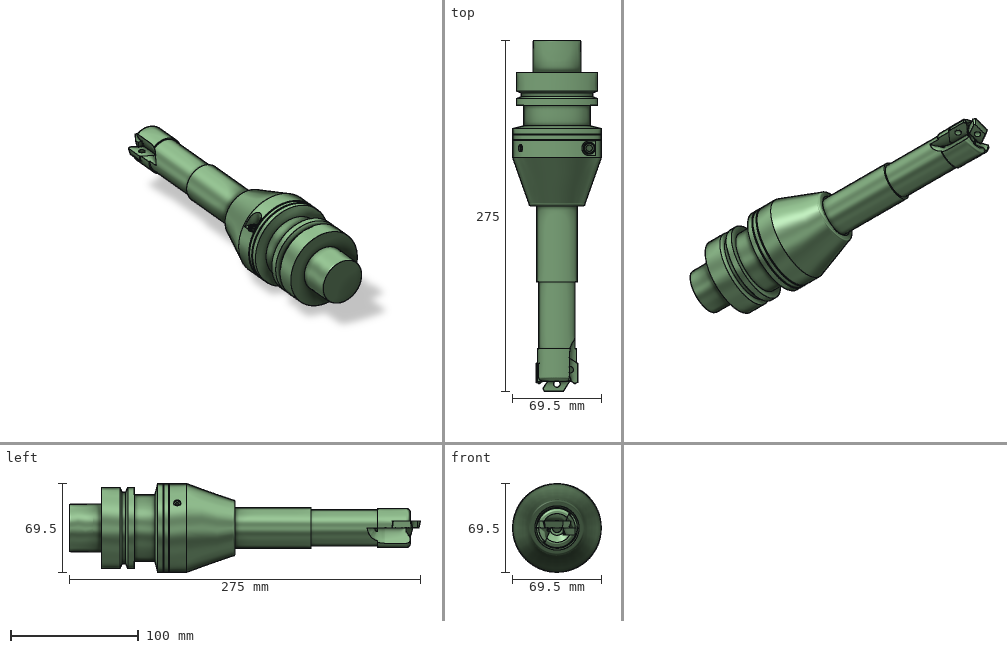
import cadquery as cq
import math


OVERALL_LENGTH = 275.0

SHANK_RADIUS = 19.0
SHANK_END_RADIUS = 18.7
SHANK_LEAD_IN_LENGTH = 1.0
SHANK_LEAD_IN_DEPTH = 0.3
SHANK_TAPER_LENGTH = 18.5
FLANGE_RADIUS = 32.0
FLANGE_START = 25.0
FLANGE_END = 51.0
FLANGE_GROOVE_RADIUS = 28.0
FLANGE_GROOVE_START = 39.5
FLANGE_GROOVE_END = 45.7
FLANGE_GROOVE_FLOOR_START = 41.3
FLANGE_GROOVE_FLOOR_END = 44.0

NECK_RADIUS = 26.0
NOSE_DIAMETER = 69.5
NOSE_RADIUS = NOSE_DIAMETER / 2
NOSE_START = 66.8
NOSE_CYLINDER_START = 69.0
NOSE_CONE_START = 92.0
NOSE_CONE_END = 128.0
NOSE_CONE_END_RADIUS = 22.0
NOSE_END = 129.8
NOSE_FILLET = NOSE_END - NOSE_CONE_END
RING_GROOVE_STATIONS = (73.7, 77.9)
RING_GROOVE_WIDTH = 0.8
RING_GROOVE_DEPTH = 0.3
MOUTH_CHAMFER = 1.5

SCREW_STATION = 84.5
SCREW_OFFSET = 25.3
SCREW_FLAT_HEIGHT = 17.3
SCREW_SLOT_RADIUS = 5.8
SCREW_STEPS = ((4.7, 1.0), (3.9, 2.2), (2.5, 4.0))
PORT_ANGLE = 34.5
PORT_RADIUS = 2.8
PORT_DEPTH = 1.7
PORT_HOLE_RADIUS = 1.5
PORT_HOLE_DEPTH = 5.5

BAR_START = NOSE_START
BAR_RADIUS = 16.0
BAR_STEP = 189.3
BAR_WAIST_RADIUS = 14.3
HEAD_START = 241.5
HEAD_RADIUS = 15.5
HEAD_END = 267.0
HEAD_FILLET = 3.3
DISH_RADIUS = 11.3
DISH_FLOOR_RADIUS = 5.8
DISH_DEPTH = 3.5
COOLANT_RADIUS = 3.5
COOLANT_DEPTH = 5.5

GULLET_INNER_X = 4.7
GULLET_LEAN_ANGLE = 22.5
GULLET_RAMP_START = 233.3
GULLET_RAMP_END = 247.5
JET_STATION = 240.2
JET_HEIGHT = 1.7
JET_RADIUS = 1.0
JET_DEPTH = 4.0

INSERT_WIDTH = 11.8
INSERT_HALF_WIDTH = INSERT_WIDTH / 2
EDGE_LONG_REACH = 10.0
EDGE_SHORT_REACH = 5.0
INSERT_NOSE_X = 11.0
INSERT_NOSE_Y = 3.5
INSERT_THICKNESS = 5.5
INSERT_CLEARANCE_ANGLE = 13
INSERT_HOLE_RADIUS = 2.5
CENTRE_INSERT_STATION = OVERALL_LENGTH - INSERT_HALF_WIDTH
SIDE_INSERT_STATION = 258.0
SIDE_INSERT_X = 10.5
SEAT_OPENING_START = SIDE_INSERT_STATION + EDGE_SHORT_REACH


def revolve_about_axis(profile):
    return profile.close().revolve(360, (0, 0, 0), (0, 1, 0))


def cylinder(radius, height, origin, direction):
    return cq.Workplane(cq.Solid.makeCylinder(radius, height, cq.Vector(*origin), cq.Vector(*direction)))


def ring_groove(station):
    half_width = RING_GROOVE_WIDTH / 2
    floor_radius = NOSE_RADIUS - RING_GROOVE_DEPTH
    return revolve_about_axis(
        cq.Workplane("XY")
        .moveTo(floor_radius, -station + half_width)
        .lineTo(NOSE_RADIUS + RING_GROOVE_DEPTH, -station + half_width)
        .lineTo(NOSE_RADIUS + RING_GROOVE_DEPTH, -station - half_width)
        .lineTo(floor_radius, -station - half_width)
    )


def screw_recess():
    """Flat-bottomed slot open to the side, with a stepped screw hole in its floor."""
    centre = (SCREW_OFFSET, -SCREW_STATION, SCREW_FLAT_HEIGHT)
    slot = cylinder(SCREW_SLOT_RADIUS, NOSE_RADIUS, centre, (0, 0, 1))
    side_opening = (
        cq.Workplane("XY")
        .box(NOSE_RADIUS, 2 * SCREW_SLOT_RADIUS, NOSE_RADIUS, centered=(False, True, False))
        .translate(centre)
    )
    recess = slot.union(side_opening)
    for radius, depth in SCREW_STEPS:
        recess = recess.union(cylinder(radius, depth, centre, (0, 0, -1)))
    return recess


def side_port():
    """Stepped radial hole on the -X, +Z side of the nose."""
    angle = math.radians(PORT_ANGLE)
    inward = (math.cos(angle), 0, -math.sin(angle))
    outer_point = (-NOSE_RADIUS * inward[0], -SCREW_STATION, -NOSE_RADIUS * inward[2])
    mouth = cylinder(PORT_RADIUS, PORT_DEPTH, outer_point, inward)
    hole = cylinder(PORT_HOLE_RADIUS, PORT_HOLE_DEPTH, outer_point, inward)
    return mouth.union(hole)


def make_holder():
    body = revolve_about_axis(
        cq.Workplane("XY")
        .moveTo(0, 0)
        .lineTo(SHANK_END_RADIUS - SHANK_LEAD_IN_DEPTH, 0)
        .lineTo(SHANK_END_RADIUS, -SHANK_LEAD_IN_LENGTH)
        .lineTo(SHANK_RADIUS, -SHANK_TAPER_LENGTH)
        .lineTo(SHANK_RADIUS, -FLANGE_START)
        .lineTo(FLANGE_RADIUS, -FLANGE_START)
        .lineTo(FLANGE_RADIUS, -FLANGE_GROOVE_START)
        .lineTo(FLANGE_GROOVE_RADIUS, -FLANGE_GROOVE_FLOOR_START)
        .lineTo(FLANGE_GROOVE_RADIUS, -FLANGE_GROOVE_FLOOR_END)
        .lineTo(FLANGE_RADIUS, -FLANGE_GROOVE_END)
        .lineTo(FLANGE_RADIUS, -FLANGE_END)
        .lineTo(NECK_RADIUS, -FLANGE_END)
        .lineTo(NECK_RADIUS, -NOSE_START)
        .lineTo(NOSE_RADIUS, -NOSE_CYLINDER_START)
        .lineTo(NOSE_RADIUS, -NOSE_CONE_START)
        .lineTo(NOSE_CONE_END_RADIUS, -NOSE_CONE_END)
        .radiusArc((NOSE_CONE_END_RADIUS - NOSE_FILLET, -NOSE_END), NOSE_FILLET)
        .lineTo(BAR_RADIUS + MOUTH_CHAMFER, -NOSE_END)
        .lineTo(BAR_RADIUS, -NOSE_END + MOUTH_CHAMFER)
        .lineTo(BAR_RADIUS, -BAR_START)
        .lineTo(0, -BAR_START)
    )
    for station in RING_GROOVE_STATIONS:
        body = body.cut(ring_groove(station))
    return body.cut(screw_recess()).cut(side_port())


def half_turn(shape):
    return shape.rotate((0, 0, 0), (0, 1, 0), 180)


def insert_blank():
    """Parallelogram with blunted acute corners, its rake face on z = 0 and its edge at -Y."""
    half_outline = [
        (-EDGE_LONG_REACH, -INSERT_HALF_WIDTH),
        (EDGE_SHORT_REACH, -INSERT_HALF_WIDTH),
        (INSERT_NOSE_X, INSERT_NOSE_Y),
    ]
    other_half = [(-x, -y) for x, y in half_outline]
    return (
        cq.Workplane("XY")
        .polyline(half_outline + other_half)
        .close()
        .extrude(-INSERT_THICKNESS, taper=INSERT_CLEARANCE_ANGLE)
    )


def make_insert():
    hole = cylinder(INSERT_HOLE_RADIUS, INSERT_THICKNESS, (0, 0, 0), (0, 0, -1))
    return insert_blank().cut(hole)


def place_at_centre(shape):
    """Edge facing the tip, rake face up."""
    return shape.translate((0, -CENTRE_INSERT_STATION, INSERT_THICKNESS))


def place_on_right(shape):
    """Edge facing outwards on the +X side, rake face up."""
    turned = shape.rotate((0, 0, 0), (0, 0, 1), 90)
    return turned.translate((SIDE_INSERT_X, -SIDE_INSERT_STATION, 0))


def place_on_left(shape):
    """Half-turn copy of the +X side position, rake face down."""
    return half_turn(place_on_right(shape))


INSERT_PLACES = (place_at_centre, place_on_right, place_on_left)


def gullet_curve_radius():
    """Radius of the arc through the ramp's outer end that is tangent to the wall at its inner end."""
    length = GULLET_RAMP_END - GULLET_RAMP_START
    height = BAR_WAIST_RADIUS - GULLET_INNER_X
    return (length**2 + height**2) / (2 * height)


def right_gullet():
    """Chip space above the +X side insert: a leaning wall that curves outwards at its rear end."""
    outer_x = 2 * HEAD_RADIUS
    outline = (
        cq.Workplane("XY")
        .moveTo(BAR_WAIST_RADIUS, -GULLET_RAMP_START)
        .radiusArc((GULLET_INNER_X, -GULLET_RAMP_END), -gullet_curve_radius())
        .lineTo(GULLET_INNER_X, -HEAD_END)
        .lineTo(outer_x, -HEAD_END)
        .lineTo(outer_x, -GULLET_RAMP_START)
        .close()
    )
    lean = HEAD_RADIUS * math.tan(math.radians(GULLET_LEAN_ANGLE))
    face = cq.Face.makeFromWires(outline.val())
    return cq.Workplane(cq.Solid.extrudeLinear(face, cq.Vector(lean, 0, HEAD_RADIUS)))


def right_coolant_jet():
    """Short coolant hole that leaves the curved end of the gullet along the axis direction."""
    radius = gullet_curve_radius()
    jet_x = GULLET_INNER_X + radius - math.sqrt(radius**2 - (GULLET_RAMP_END - JET_STATION) ** 2)
    start = (jet_x, -JET_STATION - JET_RADIUS, JET_HEIGHT)
    return cylinder(JET_RADIUS, JET_DEPTH, start, (0, 1, 0))


def right_seat_opening():
    """Clears the bar in front of the sloping end of the +X side insert."""
    inner_x = SIDE_INSERT_X - INSERT_HALF_WIDTH
    length = HEAD_END - SEAT_OPENING_START
    return (
        cq.Workplane("XY")
        .box(HEAD_RADIUS, length, INSERT_THICKNESS, centered=False)
        .translate((inner_x, -HEAD_END, -INSERT_THICKNESS))
    )


def make_bar():
    """Stepped bar with a dished end, gullets and seats cut to the outline of the inserts."""
    dish_floor = HEAD_END - DISH_DEPTH
    coolant_floor = dish_floor - COOLANT_DEPTH
    bar = revolve_about_axis(
        cq.Workplane("XY")
        .moveTo(0, -BAR_START)
        .lineTo(BAR_RADIUS, -BAR_START)
        .lineTo(BAR_RADIUS, -BAR_STEP)
        .lineTo(BAR_WAIST_RADIUS, -BAR_STEP)
        .lineTo(BAR_WAIST_RADIUS, -HEAD_START)
        .lineTo(HEAD_RADIUS, -HEAD_START)
        .lineTo(HEAD_RADIUS, -HEAD_END + HEAD_FILLET)
        .radiusArc((HEAD_RADIUS - HEAD_FILLET, -HEAD_END), HEAD_FILLET)
        .lineTo(DISH_RADIUS, -HEAD_END)
        .lineTo(DISH_FLOOR_RADIUS, -dish_floor)
        .lineTo(COOLANT_RADIUS, -dish_floor)
        .lineTo(COOLANT_RADIUS, -coolant_floor)
        .lineTo(0, -coolant_floor)
    )
    for cutter in (right_gullet(), right_coolant_jet(), right_seat_opening()):
        bar = bar.cut(cutter).cut(half_turn(cutter))
    blank = insert_blank()
    for place in INSERT_PLACES:
        bar = bar.cut(place(blank))
    return bar


holder = make_holder()
bar = make_bar()
inserts = [place(make_insert()) for place in INSERT_PLACES]

result = cq.Compound.makeCompound([holder.val(), bar.val(), *[insert.val() for insert in inserts]])